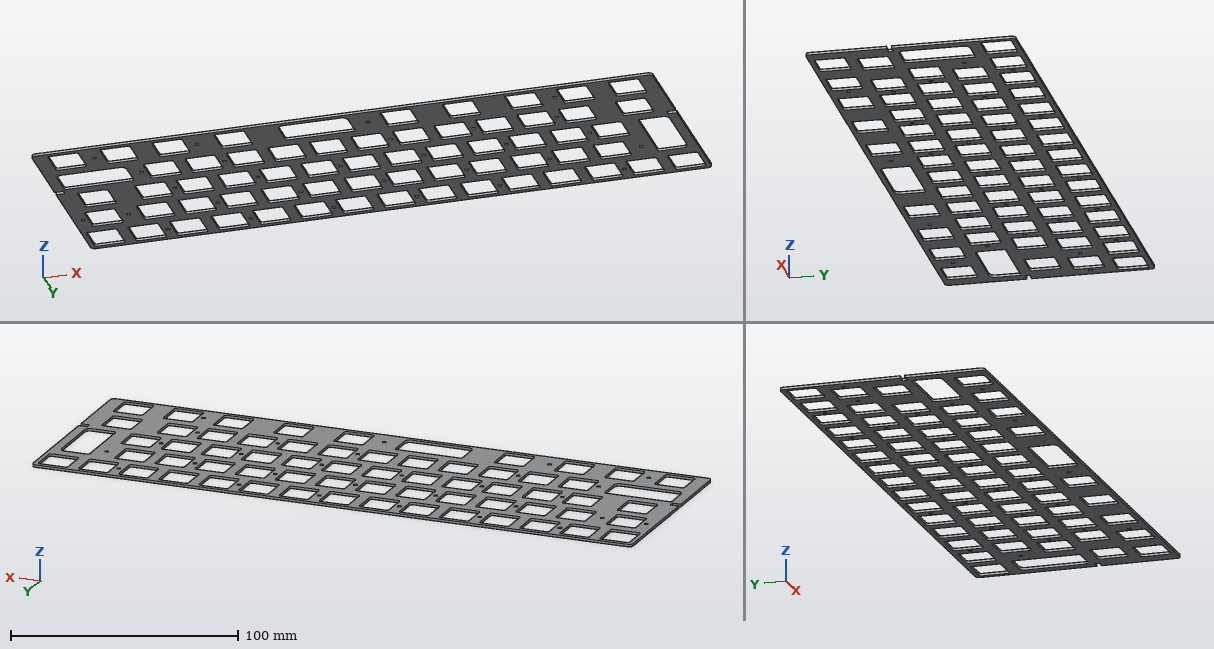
import cadquery as cq

plate_length = 285
plate_width = 94.5
plate_thickness = 1.2
plate_corner_radius = 2.0

keys_in_top_row = 15
row_count = 5
top_row_span = 266.8
key_pitch = top_row_span / (keys_in_top_row - 1)

switch_size = 14.0
long_opening_length = 32.0
long_opening_outer_radius = 2.5
opening_corner_radius = 1.0

hole_diameter = 1.62
notch_depth = 4.0
notch_width = 2.3


def key_x(units):
    """X of a place given in key pitches from the left end of the key grid."""
    return (units - keys_in_top_row / 2) * key_pitch


def row_y(row):
    """Y of a row's centre line; row 0 is the row at +Y."""
    return ((row_count - 1) / 2 - row) * key_pitch


def run_of_keys(first, count):
    """Places of neighbouring keys, one pitch apart."""
    return [first + i for i in range(count)]


switch_rows = [
    run_of_keys(0.5, keys_in_top_row),
    [0.75] + run_of_keys(2, 12),
    [0.875] + run_of_keys(2.25, 12),
    run_of_keys(2.75, 11) + [14.125],
    [0.75, 2, 3.25, 4.75, 8.75, 10.25, 11.75, 13, 14.25],
]

hole_rows = [
    [2, 4, 6, 8, 10, 13],
    [0.25, 1.35, 3.5, 5.5, 7.5, 9.5, 11.5, 13.7],
    [2.75, 4.75, 6.75, 8.75, 10.75, 12.75],
    [2.25, 4.25, 8.25, 10.25, 12.25],
    [1.4, 3.875, 8, 12.5],
]


def grid_points(rows):
    """Plate coordinates of places listed row by row."""
    return [(key_x(units), row_y(row)) for row, places in enumerate(rows) for units in places]


def rounded_block(length, width, radius):
    """Block with rounded upright edges, centred on the origin, for the plate and the switch openings."""
    return cq.Workplane().box(length, width, plate_thickness).edges("|Z").fillet(radius)


def long_opening(units, row, turn=0):
    """Cutter for a long key, larger corners at -Y, turned about Z by the given angle in degrees."""
    block = cq.Workplane().box(long_opening_length, switch_size, plate_thickness)
    block = block.edges("|Z and >Y").fillet(opening_corner_radius)
    block = block.edges("|Z and <Y").fillet(long_opening_outer_radius)
    return block.rotate((0, 0, 0), (0, 0, 1), turn).translate((key_x(units), row_y(row), 0))


plate = rounded_block(plate_length, plate_width, plate_corner_radius)

switch_block = rounded_block(switch_size, switch_size, opening_corner_radius).val()
switches = cq.Workplane().pushPoints(grid_points(switch_rows)).eachpoint(
    lambda place: switch_block.moved(place), combine=False
)
plate = plate.cut(switches)

plate = plate.cut(long_opening(1.125, 3))
plate = plate.cut(long_opening(6.75, 4))
plate = plate.cut(long_opening(14.375, 1.5, turn=90))

hole_cutters = (
    cq.Workplane()
    .pushPoints(grid_points(hole_rows))
    .circle(hole_diameter / 2)
    .extrude(plate_thickness, both=True)
)
plate = plate.cut(hole_cutters)

for side in (-1, 1):
    notch = cq.Workplane().box(2 * notch_depth, notch_width, plate_thickness)
    plate = plate.cut(notch.translate((side * plate_length / 2, row_y(2.5), 0)))

result = plate